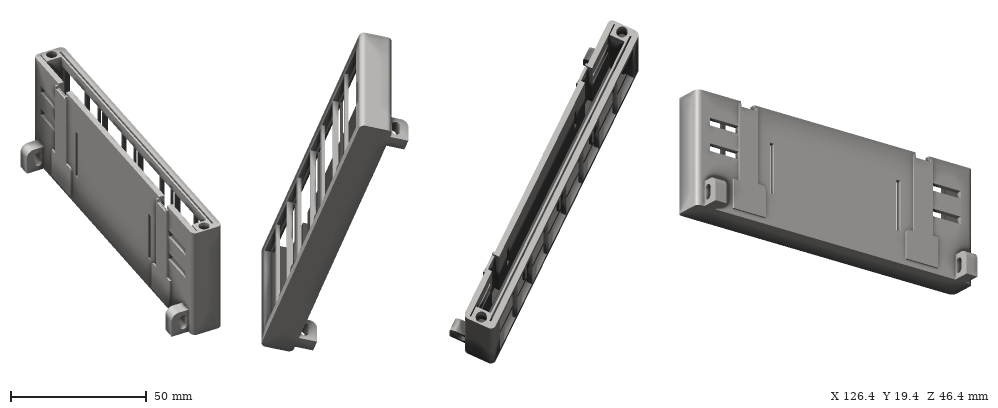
import cadquery as cq

LENGTH = 126.4
DEPTH = 12.4
HEIGHT = 46.4
CORNER_RADIUS = 2.0

CAVITY_LENGTH = 115.2
FRONT_WALL = 2.2
BACK_WALL = 3.7
FLOOR = 2.0

SLIT_FLOOR = 1.0
FRONT_SLIT_LENGTH = 124.0
FRONT_SLIT_WIDTH = 0.45
BACK_SLIT_LENGTH = 121.0
BACK_SLIT_WIDTH = 0.7
BACK_SLIT_Y = 9.45

WINDOW_MARGIN = 3.9
WIDE_BAR_WIDTH = 1.6
WIDE_BAR_DEPTH = 1.3
WIDE_BAR_LEFT_EDGES = (-43.6, -14.3, 15.7, 42.6)
THIN_BAR_WIDTH = 0.6
THIN_BAR_LEFT_EDGES = (-28.2, 0.1, 29.4)
THIN_BAR_PROTRUSION = 0.25

PIN_DIAMETER = 4.2
PIN_DEPTH = 10.0
PIN_X = 60.5

SIDE_SLOT_INNER_X = 44.1
SIDE_SLOT_OUTER_X = 57.45
SIDE_SLOT_HEIGHT = 3.05
SIDE_SLOT_BOTTOMS = (22.85, 33.1)
UPRIGHT_SLOT_X = 28.95
UPRIGHT_SLOT_WIDTH = 1.9
UPRIGHT_SLOT_BOTTOM = 13.0
UPRIGHT_SLOT_HEIGHT = 20.2

COVER_THICKNESS = 0.8
COVER_BOTTOM = 2.3
COVER_TOP = HEIGHT - 1.25
COVER_CORNER_RADIUS = 1.5
ARM_WIDTH = 8.5
LEFT_FOOT = (-47.1, -32.3)
LEFT_SHOULDERS = (14.1, 14.8)
RIGHT_FOOT = (32.1, 46.5)
RIGHT_SHOULDERS = (14.1, 14.5)
LEFT_CHANNEL_X = -40.15
RIGHT_CHANNEL_X = 39.85
CHANNEL_WIDTH = 6.1
CHANNEL_SKIN = 0.3
NOTCH_DEPTH = 2.1
NOTCH_CLEARANCE = 0.4

LUG_CENTRE_X = 57.5
LUG_WIDTH = 5.0
LUG_REACH = 7.0
LUG_HEIGHT = 10.0
LUG_RADIUS = 3.0
LUG_SLOT_LENGTH = 6.2
LUG_SLOT_WIDTH = 3.1
LUG_SLOT_Y = -2.2

CAVITY_BACK_Y = DEPTH - BACK_WALL


def block(x_range, y_range, z_range):
    """Box spanning the given (low, high) ranges."""
    x0, x1 = x_range
    y0, y1 = y_range
    z0, z1 = z_range
    return cq.Workplane("XY").box(x1 - x0, y1 - y0, z1 - z0, centered=False).translate((x0, y0, z0))


def centred(middle, width):
    """Range of the given width about a middle value."""
    return (middle - width / 2, middle + width / 2)


def make_shell():
    """Rounded housing with its cavity, panel slits and pin holes."""
    shell = block(centred(0, LENGTH), (0, DEPTH), (0, HEIGHT)).edges("|Z").fillet(CORNER_RADIUS)
    shell = shell.cut(block(centred(0, CAVITY_LENGTH), (FRONT_WALL, CAVITY_BACK_Y), (FLOOR, HEIGHT)))
    front_slit_y = (FRONT_WALL, FRONT_WALL + FRONT_SLIT_WIDTH)
    back_slit_y = (BACK_SLIT_Y, BACK_SLIT_Y + BACK_SLIT_WIDTH)
    shell = shell.cut(block(centred(0, FRONT_SLIT_LENGTH), front_slit_y, (SLIT_FLOOR, HEIGHT)))
    shell = shell.cut(block(centred(0, BACK_SLIT_LENGTH), back_slit_y, (SLIT_FLOOR, HEIGHT)))
    pins = (
        cq.Workplane("XY", origin=(0, DEPTH / 2, HEIGHT - PIN_DEPTH))
        .pushPoints([(-PIN_X, 0), (PIN_X, 0)])
        .circle(PIN_DIAMETER / 2)
        .extrude(PIN_DEPTH)
    )
    return shell.cut(pins)


def cut_windows(body):
    """Open the back wall, leaving wide outer bars and thin full-depth bars."""
    window_z = (WINDOW_MARGIN, HEIGHT - WINDOW_MARGIN)
    opening = block(centred(0, CAVITY_LENGTH), (CAVITY_BACK_Y, DEPTH), window_z)
    body = body.cut(opening)
    for left in WIDE_BAR_LEFT_EDGES:
        bar_x = (left, left + WIDE_BAR_WIDTH)
        body = body.union(block(bar_x, (DEPTH - WIDE_BAR_DEPTH, DEPTH), window_z))
    for left in THIN_BAR_LEFT_EDGES:
        bar_x = (left, left + THIN_BAR_WIDTH)
        inner_y = (CAVITY_BACK_Y - THIN_BAR_PROTRUSION, BACK_SLIT_Y)
        outer_y = (BACK_SLIT_Y + BACK_SLIT_WIDTH, DEPTH)
        body = body.union(block(bar_x, inner_y, window_z)).union(block(bar_x, outer_y, window_z))
    return body


def make_front_slots():
    """Horizontal and upright slots through the front wall, on both sides."""
    wall_y = (0, FRONT_WALL)
    upright_z = (UPRIGHT_SLOT_BOTTOM, UPRIGHT_SLOT_BOTTOM + UPRIGHT_SLOT_HEIGHT)
    slots = block(centred(UPRIGHT_SLOT_X, UPRIGHT_SLOT_WIDTH), wall_y, upright_z)
    for bottom in SIDE_SLOT_BOTTOMS:
        slot_z = (bottom, bottom + SIDE_SLOT_HEIGHT)
        slots = slots.union(block((SIDE_SLOT_INNER_X, SIDE_SLOT_OUTER_X), wall_y, slot_z))
    return slots.union(slots.mirror("YZ"))


def make_cover(arm_middle, foot, shoulders, rounded_corner):
    """Raised plate: a narrow arm over a wider foot with one rounded upper corner."""
    arm_left, arm_right = centred(arm_middle, ARM_WIDTH)
    foot_left, foot_right = foot
    left_shoulder, right_shoulder = shoulders
    cover = (
        cq.Workplane("XZ")
        .moveTo(foot_left, COVER_BOTTOM)
        .lineTo(foot_right, COVER_BOTTOM)
        .lineTo(foot_right, right_shoulder)
        .lineTo(arm_right, right_shoulder)
        .lineTo(arm_right, COVER_TOP)
        .lineTo(arm_left, COVER_TOP)
        .lineTo(arm_left, left_shoulder)
        .lineTo(foot_left, left_shoulder)
        .close()
        .extrude(COVER_THICKNESS)
    )
    corner_x, corner_z = rounded_corner
    corner = cq.selectors.NearestToPointSelector((corner_x, -COVER_THICKNESS / 2, corner_z))
    return cover.edges("|Y").edges(corner).fillet(COVER_CORNER_RADIUS)


def cut_channel(body, middle_x):
    """Channel inside the front wall behind a cover, with a notch at its top."""
    channel_x = centred(middle_x, CHANNEL_WIDTH)
    recess_x = centred(middle_x, CHANNEL_WIDTH + 2 * NOTCH_CLEARANCE)
    notch_bottom = HEIGHT - NOTCH_DEPTH
    body = body.cut(block(channel_x, (CHANNEL_SKIN, FRONT_WALL), (FLOOR, HEIGHT)))
    body = body.cut(block(channel_x, (0, CHANNEL_SKIN), (notch_bottom, HEIGHT)))
    return body.cut(block(recess_x, (-COVER_THICKNESS, 0), (notch_bottom - NOTCH_CLEARANCE, HEIGHT)))


def make_lug(middle_x):
    """Mounting lug with a rounded top corner and an upright slot across it."""
    lug = block(centred(middle_x, LUG_WIDTH), (-LUG_REACH, 0), (0, LUG_HEIGHT))
    lug = lug.edges("|X and >Z and <Y").fillet(LUG_RADIUS)
    slot = (
        cq.Workplane("YZ", origin=(middle_x - LUG_WIDTH / 2, LUG_SLOT_Y, LUG_HEIGHT / 2))
        .slot2D(LUG_SLOT_LENGTH, LUG_SLOT_WIDTH, 90)
        .extrude(LUG_WIDTH)
    )
    return lug.cut(slot)


left_rounded_corner = (LEFT_FOOT[1], LEFT_SHOULDERS[1])
right_rounded_corner = (RIGHT_FOOT[0], RIGHT_SHOULDERS[0])
left_cover = make_cover(LEFT_CHANNEL_X, LEFT_FOOT, LEFT_SHOULDERS, left_rounded_corner)
right_cover = make_cover(RIGHT_CHANNEL_X, RIGHT_FOOT, RIGHT_SHOULDERS, right_rounded_corner)

result = cut_windows(make_shell()).cut(make_front_slots())
result = result.union(left_cover).union(right_cover)
for channel_x in (LEFT_CHANNEL_X, RIGHT_CHANNEL_X):
    result = cut_channel(result, channel_x)
for lug_x in (-LUG_CENTRE_X, LUG_CENTRE_X):
    result = result.union(make_lug(lug_x))